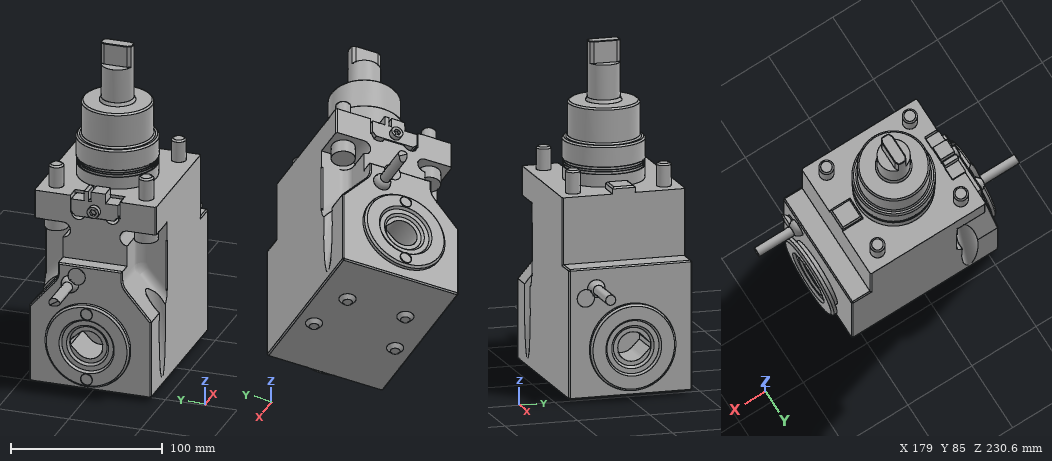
import cadquery as cq
import math


WIDTH = 85.0
BASE_LEFT = -54.9
BASE_RIGHT = 59.5
BASE_TOP = 88.5
NECK_HALF = 45.0
NECK_TOP = 134.0
EDGE_CHAMFER = 1.0

FLANGE_UNDERSIDE = 114.0
RECESS_BACK = -22.8
RECESS_WALL = 22.4
RECESS_SLOPE_TOP = 78.2
RECESS_SLOPE_END = 54.9
RECESS_BEND = 11.5
RECESS_CORNER = 6.7
RECESS_BEVEL = 1.0
RECESS_BEVEL_BOTTOM = 64.5
RECESS_BEVEL_TOP = 100.3
HEAD_SLOT_BOTTOM = 103.0
HEAD_SLOT_END = 17.3

BOLT_X = 32.5
BOLT_Y = 31.4
BOLT_DIAMETER = 10.0
BOLT_TOP = 149.6
BOLT_CHAMFER = 1.2
HEAD_DIAMETER = 16.0
HEAD_BOTTOM = 104.5

CHANNEL_RADIUS = 6.5
CHANNEL_TILT = 10.3

SHAFT_DIAMETER = 22.0
SPINDLE_TOP = 227.8
TANG_BOTTOM = 212.8
TANG_THICKNESS = 8.3
TANG_CORNER_ACROSS = 1.4
TANG_CORNER_ALONG = 3.0
TANG_TOP_CHAMFER = 0.5
SPINDLE_CHAMFER = 1.2
NOSE_DIAMETER = 48.0
NOSE_TOP = 186.7
NOSE_FOOT_DIAMETER = 50.0
PILOT_DIAMETER = 55.0
PILOT_TOP = 162.0
SEAT_DIAMETER = 54.5
SEAT_TOP = 147.5
SEAL_GROOVE_DIAMETER = 53
SEAL_GROOVE_TOPS = (147.5, 144.3)
SEAL_GROOVE_WIDTH = 1.8

KEY_INNER_X = 29.0
KEY_HALF_WIDTH = 7.8
KEY_TOP = 138.5
KEY_CHAMFER = 1.2

PLATE_FACE = -45.9
PLATE_BACK = -35.3
PLATE_HALF_WIDTH = 16.4
PLATE_BOTTOM = 120.1
PLATE_SHOULDER = 131.9
PLATE_TOP = 138.8
PLATE_CHAMFER = 2.8
LUG_HALF_WIDTH = 7.4
LUG_SLOT_WIDTH = 2.0
LUG_SLOT_Y = 3.5
PLATE_POCKET_HALF_WIDTH = 17.3
RELIEF_DIAMETER = 9.5
RELIEF_Y = 11.8
RELIEF_Z = 122.0
PLATE_SCREW_DIAMETER = 8.0
PLATE_SCREW_Z = 125.6
PLATE_SCREW_FACE = -49.5
SOCKET_WIDTH = 4.5
SOCKET_DEPTH = 2.3

OUTPUT_Z = 34.1
OUTPUT_NECK_DIAMETER = 49.0
OUTPUT_NECK_LENGTH = 3.5
OUTPUT_FLANGE_DIAMETER = 59.0
OUTPUT_FLANGE_LENGTH = 3.7
OUTPUT_CHAMFER = 1.4
OUTPUT_RECESS_DIAMETER = 38.5
OUTPUT_RECESS_FLOOR_DIAMETER = 36.0
OUTPUT_RECESS_DEPTH = 1.8
BORE_MOUTH_DIAMETER = 29.3
BORE_CHAMFER = 1.5
BORE_DIAMETER = 20.0
BORE_POINT_REACH = 12.5
BORE_DEPTH = 27.7
FACE_PIN_DIAMETER = 8.0
FACE_PIN_RADIUS = 23.5
FACE_PIN_HEIGHT = 0.7

NOZZLE_DIAMETER = 7
NOZZLE_LENGTH = 32.3
NOZZLE_BEVEL_TURN = 32
NOZZLE_LEFT_Y = 14.0
NOZZLE_RIGHT_Y = -23.7
NOZZLE_Z = 74.5
NOZZLE_BALL_DIAMETER = 12.0
PLUG_DIAMETER = 12.0
PLUG_STEM_DIAMETER = 6.0
PLUG_LENGTH = 4.0
PLUG_LEFT_PLACE = (8.0, 82.3)
PLUG_RIGHT_PLACE = (-32.0, 69.5)

FOOT_DIAMETER = 11.3
FOOT_TIP_DIAMETER = 6.5
FOOT_HEIGHT = 2.8
FOOT_PLACES = ((-18.2, 21.2), (14.5, 29.7))

OVERLAP = 2.3
PICK = 0.2

HALF = WIDTH / 2
OUTPUT_LENGTH = OUTPUT_NECK_LENGTH + OUTPUT_FLANGE_LENGTH
SIDES = (-1, 1)


def box(x0, x1, y0, y1, z0, z1):
    """Box between two opposite corners."""
    return cq.Workplane("XY").box(x1 - x0, y1 - y0, z1 - z0, centered=False).translate((x0, y0, z0))


def rod_z(diameter, x, y, z0, z1):
    """Upright cylinder from z0 to z1."""
    return cq.Workplane("XY", origin=(x, y, z0)).circle(diameter / 2).extrude(z1 - z0)


def rod_x(diameter, y, z, x0, x1):
    """Cylinder along X from x0 to x1."""
    return cq.Workplane("YZ", origin=(x0, y, z)).circle(diameter / 2).extrude(x1 - x0)


def housing():
    recess = bolt_recess()
    base = box(BASE_LEFT, BASE_RIGHT, -HALF, HALF, 0, BASE_TOP)
    base = base.edges("|X").chamfer(EDGE_CHAMFER)
    base = base.cut(recess).cut(recess.mirror("XZ"))
    base = base.faces("<X or >X").edges().chamfer(EDGE_CHAMFER)
    neck = box(-NECK_HALF, NECK_HALF, -HALF, HALF, EDGE_CHAMFER, NECK_TOP)
    neck = neck.edges("|Z").chamfer(EDGE_CHAMFER)
    neck = neck.cut(recess).cut(recess.mirror("XZ"))
    body = base.union(neck)
    bevel = recess_bevel()
    return body.cut(bevel).cut(bevel.mirror("XZ")).cut(plate_pocket())


def recess_bevel():
    """Sloping cut along the upright edge between the recess back and the -Y side."""
    return (
        cq.Workplane("XY", origin=(RECESS_BACK, -HALF, RECESS_BEVEL_BOTTOM))
        .polyline([(0, 0), (RECESS_BEVEL, 0), (0, RECESS_BEVEL)])
        .close()
        .extrude(RECESS_BEVEL_TOP - RECESS_BEVEL_BOTTOM)
    )


def bolt_recess():
    """Recess on the -Y side: upright wall that bends into a slope, plus the rounded head slot."""
    far = BASE_LEFT - OVERLAP
    bend_angle = math.atan2(HALF - RECESS_WALL, RECESS_SLOPE_TOP - RECESS_SLOPE_END)
    tangent = RECESS_BEND * math.tan(bend_angle / 2)
    bend_start = (-RECESS_WALL, RECESS_SLOPE_TOP + tangent)
    bend_middle = (
        -RECESS_WALL - RECESS_BEND * (1 - math.cos(bend_angle / 2)),
        RECESS_SLOPE_TOP + tangent - RECESS_BEND * math.sin(bend_angle / 2),
    )
    bend_end = (
        -RECESS_WALL - tangent * math.sin(bend_angle),
        RECESS_SLOPE_TOP - tangent * math.cos(bend_angle),
    )
    slot_radius = (FLANGE_UNDERSIDE - HEAD_SLOT_BOTTOM) / 2
    slot_middle = HEAD_SLOT_BOTTOM + slot_radius

    pocket = (
        cq.Workplane("YZ", origin=(far, 0, 0))
        .moveTo(-RECESS_WALL, slot_middle)
        .lineTo(*bend_start)
        .threePointArc(bend_middle, bend_end)
        .lineTo(RECESS_WALL - WIDTH, 2 * RECESS_SLOPE_END - RECESS_SLOPE_TOP)
        .lineTo(RECESS_WALL - WIDTH, slot_middle)
        .close()
        .extrude(RECESS_BACK - far)
    )
    inner = cq.selectors.BoxSelector(
        (RECESS_BACK - PICK, -WIDTH, 0), (RECESS_BACK + PICK, 0, slot_middle - PICK)
    )
    pocket = pocket.faces(">X").edges(inner).fillet(RECESS_CORNER)

    slot_y = -HEAD_SLOT_END - slot_radius
    slot = box(far, RECESS_BACK, -HALF - OVERLAP, slot_y, HEAD_SLOT_BOTTOM, FLANGE_UNDERSIDE)
    slot_end = rod_x(2 * slot_radius, slot_y, slot_middle, far, RECESS_BACK)
    return pocket.union(slot).union(slot_end)


def wrench_channel():
    """Tilted cylinder on the -Y side, aimed at the middle of the bolt head."""
    tilt = math.radians(CHANNEL_TILT)
    down = cq.Vector(0, -math.sin(tilt), -math.cos(tilt))
    start = cq.Vector(-BOLT_X, -BOLT_Y, HEAD_SLOT_BOTTOM)
    return cq.Workplane(obj=cq.Solid.makeCylinder(CHANNEL_RADIUS, HEAD_SLOT_BOTTOM, start, down))


def bolt(x, y):
    shank = rod_z(BOLT_DIAMETER, x, y, FLANGE_UNDERSIDE, BOLT_TOP).faces(">Z").chamfer(BOLT_CHAMFER)
    return shank.union(rod_z(HEAD_DIAMETER, x, y, HEAD_BOTTOM, FLANGE_UNDERSIDE))


def spindle():
    c = SPINDLE_CHAMFER
    shaft = SHAFT_DIAMETER / 2
    nose = NOSE_DIAMETER / 2
    foot = NOSE_FOOT_DIAMETER / 2
    pilot = PILOT_DIAMETER / 2
    seat = SEAT_DIAMETER / 2
    profile = [
        (0, NECK_TOP - OVERLAP),
        (seat, NECK_TOP - OVERLAP),
        (seat, SEAT_TOP),
        (pilot, SEAT_TOP),
        (pilot, PILOT_TOP - c),
        (pilot - c, PILOT_TOP),
        (foot, PILOT_TOP),
        (nose, PILOT_TOP + c),
        (nose, NOSE_TOP - c),
        (nose - c, NOSE_TOP),
        (shaft + c, NOSE_TOP),
        (shaft, NOSE_TOP + 2 * c),
        (shaft, SPINDLE_TOP),
        (0, SPINDLE_TOP),
    ]
    body = cq.Workplane("XZ").polyline(profile).close().revolve(360, (0, 0, 0), (0, 1, 0))
    for top in SEAL_GROOVE_TOPS:
        ring = rod_z(PILOT_DIAMETER + OVERLAP, 0, 0, top - SEAL_GROOVE_WIDTH, top)
        body = body.cut(ring.cut(rod_z(SEAL_GROOVE_DIAMETER, 0, 0, top - SEAL_GROOVE_WIDTH, top)))

    above = box(-shaft, shaft, -shaft, shaft, TANG_BOTTOM, SPINDLE_TOP)
    blank = box(-TANG_THICKNESS / 2, TANG_THICKNESS / 2, -shaft, shaft, TANG_BOTTOM, SPINDLE_TOP)
    blank = blank.faces("<X or >X").edges("|Z").chamfer(TANG_CORNER_ALONG, TANG_CORNER_ACROSS)
    blank = blank.faces(">Z").edges().chamfer(TANG_TOP_CHAMFER)
    return body.cut(above.cut(blank))


def drive_key():
    key = box(KEY_INNER_X, NECK_HALF, -KEY_HALF_WIDTH, KEY_HALF_WIDTH, NECK_TOP, KEY_TOP)
    return key.faces(">Z").edges().chamfer(KEY_CHAMFER)


def plate_pocket():
    far = -NECK_HALF - OVERLAP
    half = PLATE_POCKET_HALF_WIDTH
    pocket = box(far, PLATE_BACK, -half, half, RELIEF_Z, NECK_TOP)
    pocket = pocket.union(box(far, PLATE_BACK, -RELIEF_Y, RELIEF_Y, PLATE_BOTTOM, NECK_TOP))
    for side in SIDES:
        pocket = pocket.union(rod_x(RELIEF_DIAMETER, side * RELIEF_Y, RELIEF_Z, far, PLATE_BACK))
    return pocket


def locating_plate():
    half = PLATE_HALF_WIDTH
    plate = box(PLATE_FACE, PLATE_BACK, -half, half, PLATE_BOTTOM, PLATE_SHOULDER)
    plate = plate.faces("<Z").edges("|X").chamfer(PLATE_CHAMFER)
    lug = box(PLATE_FACE, PLATE_BACK, -LUG_HALF_WIDTH, LUG_HALF_WIDTH, PLATE_SHOULDER, PLATE_TOP)
    slot_y = LUG_SLOT_Y - LUG_SLOT_WIDTH / 2
    slot = box(PLATE_FACE, PLATE_BACK, slot_y, slot_y + LUG_SLOT_WIDTH, PLATE_SHOULDER, PLATE_TOP)
    screw = rod_x(PLATE_SCREW_DIAMETER, 0, PLATE_SCREW_Z, PLATE_SCREW_FACE, PLATE_BACK)
    socket = (
        cq.Workplane("YZ", origin=(PLATE_SCREW_FACE, 0, PLATE_SCREW_Z))
        .polygon(6, SOCKET_WIDTH)
        .extrude(SOCKET_DEPTH)
    )
    return plate.union(lug.cut(slot)).union(screw).cut(socket)


def turned_x(profile, x, y, z, side):
    """Solid of revolution about X; profile points are (distance outward, radius)."""
    solid = cq.Workplane("XY").polyline(profile).close().revolve(360, (0, 0, 0), (1, 0, 0))
    if side < 0:
        solid = solid.mirror("YZ")
    return solid.translate((x, y, z))


def tool_output(x, side):
    """Flanged output with a stepped mouth, standing out of the end face at x."""
    neck = OUTPUT_NECK_DIAMETER / 2
    flange = OUTPUT_FLANGE_DIAMETER / 2
    mouth = BORE_MOUTH_DIAMETER / 2
    floor = OUTPUT_LENGTH - OUTPUT_RECESS_DEPTH
    profile = [
        (-OVERLAP, 0),
        (-OVERLAP, neck),
        (OUTPUT_NECK_LENGTH, neck),
        (OUTPUT_NECK_LENGTH, flange),
        (OUTPUT_LENGTH - OUTPUT_CHAMFER, flange),
        (OUTPUT_LENGTH, flange - OUTPUT_CHAMFER),
        (OUTPUT_LENGTH, OUTPUT_RECESS_DIAMETER / 2),
        (floor, OUTPUT_RECESS_FLOOR_DIAMETER / 2),
        (floor, mouth),
        (floor - BORE_CHAMFER, mouth - BORE_CHAMFER),
        (floor - BORE_CHAMFER, 0),
    ]
    return turned_x(profile, x, 0, OUTPUT_Z, side)


def output_bore(x, side):
    """Blind round bore whose +Y side runs out into a blunt right-angled point."""
    radius = BORE_DIAMETER / 2
    touch = radius * math.sqrt(0.5)
    blunt = 2 * touch - BORE_POINT_REACH
    bore = (
        cq.Workplane("YZ", origin=(OUTPUT_LENGTH - BORE_DEPTH, 0, 0))
        .moveTo(touch, -touch)
        .lineTo(BORE_POINT_REACH, -blunt)
        .lineTo(BORE_POINT_REACH, blunt)
        .lineTo(touch, touch)
        .threePointArc((-radius, 0), (touch, -touch))
        .close()
        .extrude(BORE_DEPTH)
    )
    if side < 0:
        bore = bore.mirror("YZ")
    return bore.translate((x, 0, OUTPUT_Z))


def face_pin(up):
    """Pin standing slightly out of the flange at the -X end."""
    flange_back = BASE_LEFT - OUTPUT_NECK_LENGTH
    pin_face = BASE_LEFT - OUTPUT_LENGTH - FACE_PIN_HEIGHT
    return rod_x(FACE_PIN_DIAMETER, 0, OUTPUT_Z + up * FACE_PIN_RADIUS, pin_face, flange_back)


def nozzle(x, y, side):
    """Coolant tube leaving the end face through half a ball."""
    ball = NOZZLE_BALL_DIAMETER / 2
    tube = NOZZLE_DIAMETER / 2
    profile = (
        cq.Workplane("XY")
        .moveTo(-OVERLAP, 0)
        .lineTo(-OVERLAP, ball)
        .lineTo(0, ball)
        .threePointArc((ball / 2, ball * math.sqrt(0.75)), (math.sqrt(ball**2 - tube**2), tube))
        .lineTo(NOZZLE_LENGTH, tube)
        .lineTo(NOZZLE_LENGTH, 0)
        .close()
    )
    solid = profile.revolve(360, (0, 0, 0), (1, 0, 0))
    if side < 0:
        solid = solid.mirror("YZ")
    return solid.translate((x, y, NOZZLE_Z))


def nozzle_bevel(x, y):
    """Slanting cut that takes the lower half off the tip of the -X nozzle."""
    size = NOZZLE_DIAMETER
    wedge = (
        cq.Workplane("XZ", origin=(0, size, 0))
        .polyline([(0, 0), (size, -size), (0, -size)])
        .close()
        .extrude(2 * size)
    )
    wedge = wedge.rotate((0, 0, 0), (1, 0, 0), -NOZZLE_BEVEL_TURN)
    return wedge.translate((x - NOZZLE_LENGTH, y, NOZZLE_Z))


def plug(x, y, z, side):
    """Countersunk plug whose wide end faces outward."""
    rim = PLUG_DIAMETER / 2
    stem = PLUG_STEM_DIAMETER / 2
    cone_start = PLUG_LENGTH - (rim - stem)
    profile = [(-OVERLAP, 0), (-OVERLAP, stem), (cone_start, stem), (PLUG_LENGTH, rim), (PLUG_LENGTH, 0)]
    return turned_x(profile, x, y, z, side)


def foot_screw(x, y):
    """Screw with a conical tip below the housing."""
    rim = FOOT_DIAMETER / 2
    tip = FOOT_TIP_DIAMETER / 2
    profile = [(0, OVERLAP), (rim, OVERLAP), (rim, 0), (tip, -FOOT_HEIGHT), (0, -FOOT_HEIGHT)]
    screw = cq.Workplane("XZ").polyline(profile).close().revolve(360, (0, 0, 0), (0, 1, 0))
    return screw.translate((x, y, 0))


result = housing()
channel = wrench_channel()
result = result.cut(channel).cut(channel.mirror("XZ"))

result = result.union(spindle()).union(drive_key()).union(locating_plate())
for x_side in SIDES:
    for y_side in SIDES:
        result = result.union(bolt(x_side * BOLT_X, y_side * BOLT_Y))

for end_face, direction in ((BASE_LEFT, -1), (BASE_RIGHT, 1)):
    result = result.union(tool_output(end_face, direction)).cut(output_bore(end_face, direction))

for up_or_down in SIDES:
    result = result.union(face_pin(up_or_down))

result = result.union(nozzle(BASE_LEFT, NOZZLE_LEFT_Y, -1)).union(plug(BASE_LEFT, *PLUG_LEFT_PLACE, -1))
result = result.union(nozzle(BASE_RIGHT, NOZZLE_RIGHT_Y, 1)).union(plug(BASE_RIGHT, *PLUG_RIGHT_PLACE, 1))
result = result.cut(nozzle_bevel(BASE_LEFT, NOZZLE_LEFT_Y))

for foot_x, foot_y in FOOT_PLACES:
    for y_side in SIDES:
        result = result.union(foot_screw(foot_x, y_side * foot_y))